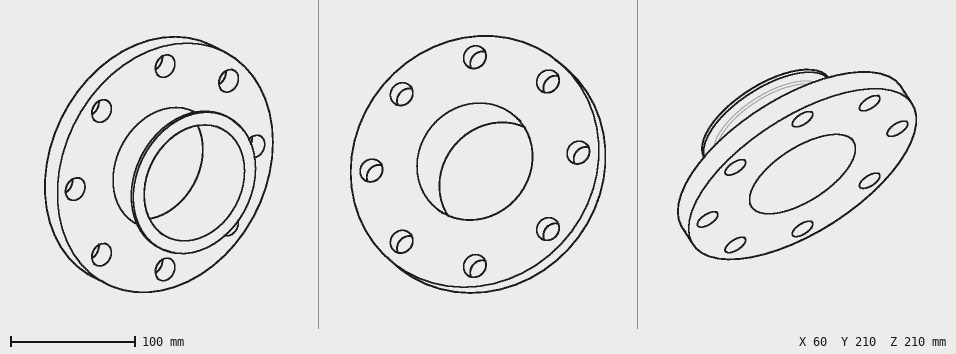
import cadquery as cq
import math

flange_diameter = 210.0
flange_thickness = 18.0
bolt_circle_diameter = 175.0
bolt_hole_diameter = 19.0
bolt_count = 8

total_length = 60.0
bore_diameter = 97.6
tube_diameter = 101.6
rim_diameter = 119.0
rim_thickness = 3.0
cone_angle = 20.0
neck_fillet_radius = 2.0

tube_radius = tube_diameter / 2
rim_radius = rim_diameter / 2
rim_back = total_length - rim_thickness
cone_length = (rim_radius - tube_radius) * math.tan(math.radians(cone_angle))
cone_start = rim_back - cone_length


def make_body():
    """Flange, tube and conical clamp rim, revolved about the X axis."""
    turn = math.radians(90 - cone_angle)
    tangent_length = neck_fillet_radius * math.tan(turn / 2)
    arc_start = (cone_start - tangent_length, tube_radius)
    arc_mid = (
        arc_start[0] + neck_fillet_radius * math.sin(turn / 2),
        tube_radius + neck_fillet_radius * (1 - math.cos(turn / 2)),
    )
    arc_end = (
        cone_start + tangent_length * math.cos(turn),
        tube_radius + tangent_length * math.sin(turn),
    )
    return (
        cq.Workplane("XY")
        .moveTo(0, bore_diameter / 2)
        .lineTo(0, flange_diameter / 2)
        .lineTo(flange_thickness, flange_diameter / 2)
        .lineTo(flange_thickness, tube_radius)
        .lineTo(*arc_start)
        .threePointArc(arc_mid, arc_end)
        .lineTo(rim_back, rim_radius)
        .lineTo(total_length, rim_radius)
        .lineTo(total_length, bore_diameter / 2)
        .close()
        .revolve(360, (0, 0, 0), (1, 0, 0))
    )


def make_bolt_holes():
    """Cutters for the ring of through holes in the flange."""
    return (
        cq.Workplane("YZ")
        .polarArray(bolt_circle_diameter / 2, 0, 360, bolt_count)
        .circle(bolt_hole_diameter / 2)
        .extrude(flange_thickness)
    )


result = make_body().cut(make_bolt_holes())